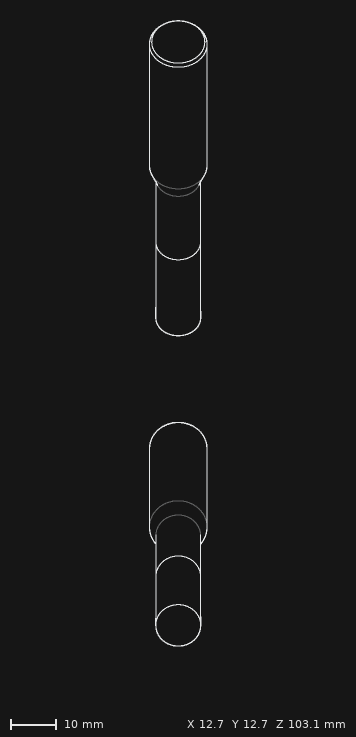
import cadquery as cq
import math

total_length = 103.1
shank_diameter = 12.7
chamfer_width = 0.5
chamfer_height = 0.8
shank_length = 45.3
taper_length = 4.6

neck_diameter = 9.8
head_diameter = 9.9
head_length = 30.0
point_angle = 130.0

shank_radius = shank_diameter / 2
neck_radius = neck_diameter / 2
head_radius = head_diameter / 2
point_height = head_radius / math.tan(math.radians(point_angle / 2))
shank_bottom = total_length - shank_length
taper_bottom = shank_bottom - taper_length


def revolve_profile(points):
    """Revolve an (r, z) outline about the Z axis."""
    return cq.Workplane("XZ").polyline(points).close().revolve(360, (0, 0), (0, 1))


def make_shank():
    """Chamfered shank tapering to a neck that ends on the cutting head."""
    return revolve_profile([
        (0, head_length),
        (neck_radius, head_length),
        (neck_radius, taper_bottom),
        (shank_radius, shank_bottom),
        (shank_radius, total_length - chamfer_height),
        (shank_radius - chamfer_width, total_length),
        (0, total_length),
    ])


def make_cutting_head():
    """Slightly back-tapered head with a conical point at the origin."""
    return revolve_profile([
        (0, 0),
        (head_radius, point_height),
        (neck_radius, head_length),
        (0, head_length),
    ])


shank = make_shank()
cutting_head = make_cutting_head()

result = cq.Compound.makeCompound([shank.val(), cutting_head.val()])